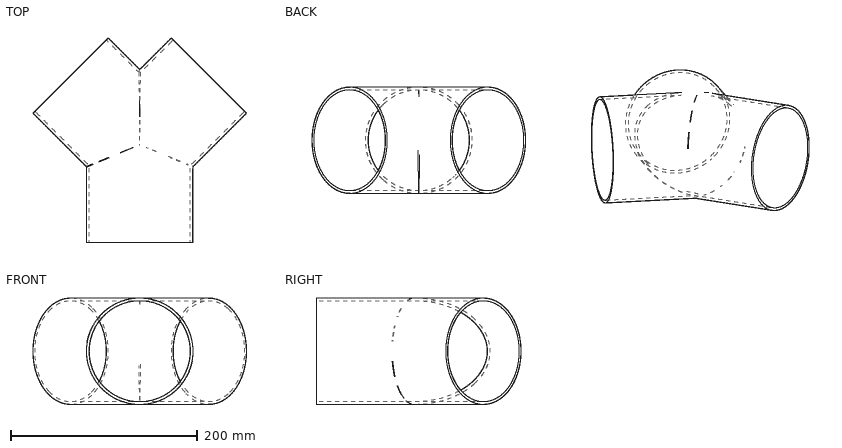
import cadquery as cq

outer_diameter = 114.3
wall_thickness = 3.0
leg_length = 105.0
branch_angle = 45.0
outer_fillet = 1.0
inner_fillet = outer_fillet + wall_thickness

outer_radius = outer_diameter / 2
inner_radius = outer_radius - wall_thickness
leg_headings = (branch_angle, -branch_angle, 180.0)


def leg(radius, heading):
    """Solid bar from the origin to one open end."""
    bar = cq.Workplane("XZ").circle(radius).extrude(-leg_length)
    return bar.rotate((0, 0, 0), (0, 0, 1), heading)


def y_body(radius, mitre_fillet):
    """Three joined bars with every mitre rounded; the mitres are the only elliptical edges."""
    body = cq.Workplane("XY")
    for heading in leg_headings:
        body = body.add(leg(radius, heading))
    return body.combine().edges("%ELLIPSE").fillet(mitre_fillet)


outside = y_body(outer_radius, outer_fillet)
bore = y_body(inner_radius, inner_fillet)
result = outside.cut(bore)